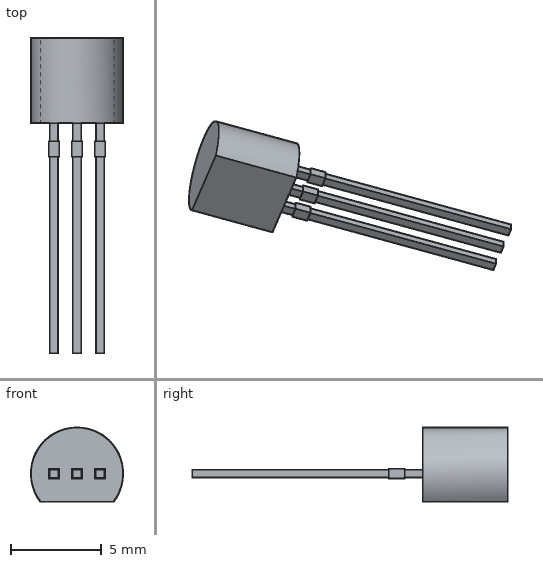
import cadquery as cq

total_length = 17.4
body_diameter = 5.1
body_height = 4.1
body_length = 4.7

lead_count = 3
lead_pitch = 1.27
lead_width = 0.47
lead_thickness = 0.44

collar_width = 0.6
collar_thickness = 0.55
collar_length = 0.87
collar_gap = 1.0

body_radius = body_diameter / 2
flat_z = body_radius - body_height
lead_length = total_length - body_length


def make_body():
    """Round body along +Y from its lead face at Y = 0, cut by a flat below."""
    cylinder = cq.Workplane("XZ").circle(body_radius).extrude(-body_length)
    keep = cq.Workplane("XY").box(
        body_diameter, body_length, body_height, centered=(True, False, False)
    )
    return cylinder.intersect(keep.translate((0, 0, flat_z)))


def make_bar(width, thickness, start, length):
    """Rectangular bar running toward -Y, starting a distance from the body face."""
    return (
        cq.Workplane("XZ", origin=(0, -start, 0))
        .rect(width, thickness)
        .extrude(length)
    )


def make_lead():
    """Straight lead with its collar."""
    shank = make_bar(lead_width, lead_thickness, 0, lead_length)
    collar = make_bar(collar_width, collar_thickness, collar_gap, collar_length)
    return shank.union(collar)


result = make_body()
for index in range(lead_count):
    lead_x = (index - (lead_count - 1) / 2) * lead_pitch
    result = result.union(make_lead().translate((lead_x, 0, 0)))